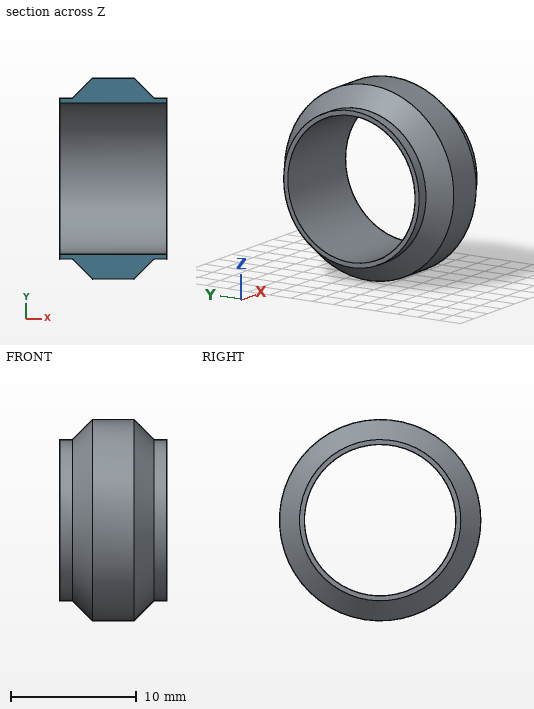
import cadquery as cq

total_length = 8.5
band_diameter = 16.0
collar_diameter = 12.8
bore_diameter = 12.0
band_length = 3.3

band_radius = band_diameter / 2
collar_radius = collar_diameter / 2
bore_radius = bore_diameter / 2
half_length = total_length / 2
half_band = band_length / 2
cone_length = band_radius - collar_radius
cone_foot = half_band + cone_length

section = (
    cq.Workplane("XY")
    .moveTo(-half_length, bore_radius)
    .lineTo(-half_length, collar_radius)
    .lineTo(-cone_foot, collar_radius)
    .lineTo(-half_band, band_radius)
    .lineTo(half_band, band_radius)
    .lineTo(cone_foot, collar_radius)
    .lineTo(half_length, collar_radius)
    .lineTo(half_length, bore_radius)
    .close()
)

result = section.revolve(360, (0, 0, 0), (1, 0, 0))